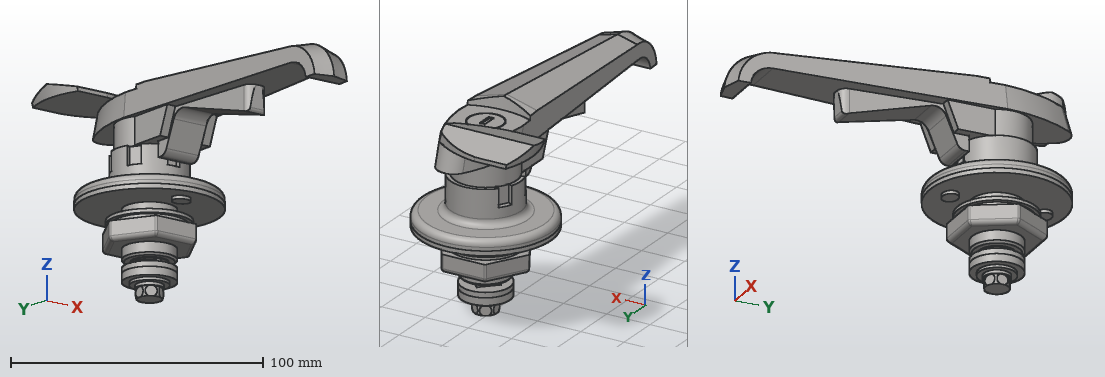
import cadquery as cq
import math


overrun = 1.5
reach = 62.3

flange_radius = 30.0
flange_top = 6.7
flange_edge_radius = 3.0
collar_radius = 16.0
collar_top = 22.6
collar_root_radius = 3.1
neck_radius = 11.0
neck_bottom = -21.7
neck_chamfer = 1.0
spindle_radius = 7.6

notch_angles = (150, 210, 270)
notch_width = 6.0
notch_bottom = 14.3
notch_floor_distance = 13.4

gasket_thickness = 2.0
stud_distance = 20.5
stud_length = 8.1
stud_width = 6.9
stud_height = 1.4

washer_radius = 17.5
washer_top = -4.7
washer_thickness = 1.5
nut_collar_radius = 15.6
nut_collar_height = 2.0
nut_across_flats = 34.9
nut_height = 8.1
nut_corner_radius = 1.1
nut_edge_radius = 2.0

spindle_step = 0.3
square_side = 10.0
spacer_top = -24.3
spacer_thickness = 2.3
end_flange_radius = 11.0
end_flange_thickness = 3.5
screw_shoulder_radius = 8.1
screw_shoulder_height = 1.2
screw_neck_radius = 5.8
screw_neck_height = 1.4
screw_across_flats = 10.1
screw_head_rounding = 5.6
screw_bottom = -37.1

handle_bottom = 34.8
deck_top = 45.0
ridge_top = 50.7
gable_angle = 15
ridge_bend_y = -16.0
ridge_end_y = -101.3
ridge_end_z = 44.1
tip_y = -120.0
roll_axis_gap = 0.2
hook_overlap = 1.5
tip_bottom = 26.8
hook_center_y = -103.2
hook_center_z = 25.4
hook_inner_radius = 9.4
arm_wide_y = -2.5
arm_wide_half = 15.0
arm_narrow_y = -117.8
arm_narrow_half = 8.1

head_back_y = 32.1
head_nose_y = 28.5
head_side_radius = 62.3
head_side_center_y = -3.1
head_lean = 3.3
step_center_y = 23.2
step_radius = 36.2
step_lean_angle = 9.5

barrel_radius = 14.2
block_half_width = 12.5
block_bottom = 22.9
block_bottom_y = -23.0
block_top_y = -27.7

trigger_bottom = 16.4
trigger_back_y = -16.2
trigger_wide_half = 8.1
trigger_taper_y = -26.5
trigger_tip_half = 4.5
trigger_tip_y = -70.9
trigger_corner_radius = 3.9
trigger_side_clearance = 0.3
foot_corner_start_y = -18.0
foot_corner_middle = (-20.3, 17.1)
foot_corner_end = (-21.5, 18.9)
throat_start = (-26.3, 30.0)
throat_middle = (-28.8, 32.7)
throat_end = (-32.9, 33.2)
tip_corner_start = (-67.6, 24.0)
tip_corner_middle = (-69.4, 24.0)
tip_corner_end = (-70.0, 25.3)

cylinder_radius = 7.6
cylinder_clearance = 0.3
key_slot_width = 2.3
key_slot_length = 7.0
key_slot_y = -0.8
key_slot_depth = 0.8

cover_center_y = 21.2
cover_half_width = 14.7
cover_edge_height = 1.9
cover_left_x = -35.0
cover_corner_x = -32.1
cover_curve_x = -17.5
cover_flank_x = -4.0
cover_flank_y = 10.6
cover_nose_x = 4.0
cover_nose_y = 5.5
cover_right_x = 5.8
cover_lean = 1.4


def disc(radius, top, thickness):
    return cq.Workplane("XY").workplane(offset=top - thickness).circle(radius).extrude(thickness)


def make_housing():
    arc_part = 1 - math.sqrt(0.5)
    root = collar_root_radius
    edge = flange_edge_radius
    body = (
        cq.Workplane("XZ")
        .moveTo(spindle_radius, collar_top)
        .lineTo(collar_radius, collar_top)
        .lineTo(collar_radius, flange_top + root)
        .threePointArc(
            (collar_radius + root * arc_part, flange_top + root * arc_part),
            (collar_radius + root, flange_top),
        )
        .lineTo(flange_radius - edge, flange_top)
        .threePointArc(
            (flange_radius - edge * arc_part, flange_top - edge * arc_part),
            (flange_radius, flange_top - edge),
        )
        .lineTo(flange_radius, gasket_thickness)
        .lineTo(neck_radius, gasket_thickness)
        .lineTo(neck_radius, neck_bottom + neck_chamfer)
        .lineTo(neck_radius - neck_chamfer, neck_bottom)
        .lineTo(spindle_radius, neck_bottom)
        .close()
        .revolve(360, (0, 0, 0), (0, 1, 0))
    )
    notch_depth = collar_radius - notch_floor_distance + overrun
    notch = cq.Workplane("XY").box(
        notch_depth, notch_width, collar_top - notch_bottom, centered=(False, True, False)
    ).translate((notch_floor_distance, 0, notch_bottom))
    for angle in notch_angles:
        body = body.cut(notch.rotate((0, 0, 0), (0, 0, 1), angle))
    return body


def make_gasket():
    ring = disc(flange_radius, gasket_thickness, gasket_thickness)
    ring = ring.cut(disc(neck_radius, gasket_thickness, gasket_thickness))
    studs = (
        cq.Workplane("XY")
        .pushPoints([(0, -stud_distance), (0, stud_distance)])
        .ellipse(stud_length / 2, stud_width / 2)
        .extrude(-stud_height)
    )
    return ring.union(studs)


def make_washer():
    washer = disc(washer_radius, washer_top, washer_thickness)
    return washer.cut(disc(neck_radius, washer_top, washer_thickness))


def make_nut():
    collar_top_z = washer_top - washer_thickness
    hex_top = collar_top_z - nut_collar_height
    hexagon = (
        cq.Workplane("XY")
        .workplane(offset=hex_top - nut_height)
        .polygon(6, nut_across_flats / math.cos(math.pi / 6))
        .extrude(nut_height)
        .edges("|Z")
        .fillet(nut_corner_radius)
        .faces("<Z")
        .edges()
        .fillet(nut_edge_radius)
    )
    nut = hexagon.union(disc(nut_collar_radius, collar_top_z, nut_collar_height))
    return nut.cut(disc(neck_radius, collar_top_z, nut_collar_height + nut_height))


def square_prism(top, height):
    return (
        cq.Workplane("XY")
        .workplane(offset=top - height)
        .transformed(rotate=(0, 0, 45))
        .rect(square_side, square_side)
        .extrude(height)
    )


def make_spacer():
    spacer = disc(end_flange_radius, spacer_top, spacer_thickness)
    return spacer.cut(square_prism(spacer_top, spacer_thickness))


def make_screw():
    flange_face = spacer_top - spacer_thickness
    shoulder_face = flange_face - end_flange_thickness
    neck_face = shoulder_face - screw_shoulder_height
    head_face = neck_face - screw_neck_height
    head_height = head_face - screw_bottom
    rounding = cq.Workplane("XY").sphere(screw_head_rounding).translate((0, 0, head_face - head_height / 2))
    head = (
        cq.Workplane("XY")
        .workplane(offset=screw_bottom)
        .transformed(rotate=(0, 0, 90))
        .polygon(6, screw_across_flats / math.cos(math.pi / 6))
        .extrude(head_height)
        .intersect(rounding)
    )
    return (
        disc(end_flange_radius, flange_face, end_flange_thickness)
        .union(disc(screw_shoulder_radius, shoulder_face, screw_shoulder_height))
        .union(disc(screw_neck_radius, neck_face, screw_neck_height))
        .union(head)
    )


def gable(plane, depth):
    """Gabled cross-section whose ridge lies at the origin of the plane."""
    half = arm_wide_half + overrun
    eave_drop = half * math.tan(math.radians(gable_angle))
    return (
        cq.Workplane(plane)
        .polyline([(0, 0), (half, -eave_drop), (half, -depth), (-half, -depth), (-half, -eave_drop)])
        .close()
    )


def make_roof():
    """Roof of the grip: level at the head, sloping along the arm, rolled over at the hook."""
    slope = (ridge_top - ridge_end_z) / (ridge_bend_y - ridge_end_y)
    slope_angle = math.atan(slope)
    rearward = (0, math.cos(slope_angle), math.sin(slope_angle))
    roll_radius = ridge_end_y - tip_y
    hook_depth = roll_radius - roll_axis_gap
    arm_depth = 2 * roll_radius
    start_y = ridge_end_y - hook_overlap
    start_z = ridge_end_z - slope * hook_overlap
    level_plane = cq.Plane((0, start_y, ridge_top), (-1, 0, 0), (0, 1, 0))
    slope_plane = cq.Plane((0, start_y, start_z), (-1, 0, 0), rearward)
    hook_plane = cq.Plane((0, ridge_end_y, ridge_end_z), (-1, 0, 0), (0, 1, 0))
    level = gable(level_plane, arm_depth).extrude(reach - ridge_end_y)
    sloped = gable(slope_plane, arm_depth).extrude(reach - ridge_end_y)
    hook = gable(hook_plane, hook_depth).revolve(90, (0, -roll_radius, 0), (-1, -roll_radius, 0))
    return sloped.intersect(level).union(hook)


def make_side_trim():
    """Side outline of the grip below the roof, with the hook's inner curve."""
    diagonal = hook_inner_radius * math.sqrt(0.5)
    run = math.sqrt(hook_inner_radius**2 - (tip_bottom - hook_center_z) ** 2)
    return (
        cq.Workplane("YZ")
        .moveTo(head_back_y + overrun, handle_bottom)
        .lineTo(hook_center_y, handle_bottom)
        .threePointArc(
            (hook_center_y - diagonal, hook_center_z + diagonal),
            (hook_center_y - run, tip_bottom),
        )
        .lineTo(tip_y - overrun, tip_bottom)
        .lineTo(tip_y - overrun, ridge_top + overrun)
        .lineTo(head_back_y + overrun, ridge_top + overrun)
        .close()
        .extrude(reach, both=True)
    )


def make_plan_trim():
    """Tapering plan of the arm, run on past the head and the tip."""
    taper = (arm_wide_half - arm_narrow_half) / (arm_wide_y - arm_narrow_y)
    front_y = tip_y - overrun
    back_y = head_back_y + overrun
    front_half = arm_narrow_half + taper * (front_y - arm_narrow_y)
    back_half = arm_narrow_half + taper * (back_y - arm_narrow_y)
    outline = [(-front_half, front_y), (front_half, front_y), (back_half, back_y), (-back_half, back_y)]
    return cq.Workplane("XY").polyline(outline).close().extrude(reach)


def head_outline(workplane, shift):
    """Plan of the head, run on past the tip, with the rear moved along Y by the shift."""
    def side_x(y):
        inset = head_side_radius - math.sqrt(head_side_radius**2 - (y - head_side_center_y) ** 2)
        return arm_wide_half - inset

    mid_y = (head_side_center_y + head_nose_y) / 2
    front_y = tip_y - overrun
    wide = side_x(head_side_center_y)
    nose = side_x(head_nose_y)
    return (
        workplane.moveTo(-wide, front_y)
        .lineTo(wide, front_y)
        .lineTo(wide, head_side_center_y + shift)
        .threePointArc((side_x(mid_y), mid_y + shift), (nose, head_nose_y + shift))
        .threePointArc((0, head_back_y + shift), (-nose, head_nose_y + shift))
        .threePointArc((-side_x(mid_y), mid_y + shift), (-wide, head_side_center_y + shift))
        .close()
    )


def make_head_trim():
    """Head plan swept upward and forward, so that the rear wall leans."""
    height = deck_top - handle_bottom
    below = handle_bottom - tip_bottom + overrun
    above = ridge_top - handle_bottom + overrun
    lean = head_lean / height
    lower = head_outline(cq.Workplane("XY").workplane(offset=handle_bottom - below), lean * below)
    upper = head_outline(lower.workplane(offset=below + above), -lean * above)
    return upper.loft(ruled=True)


def make_deck_cut():
    """Round leaning step down from the ridge to the flat deck."""
    return (
        cq.Workplane("XY")
        .workplane(offset=deck_top)
        .center(0, step_center_y)
        .circle(step_radius)
        .extrude(ridge_top - deck_top + overrun, taper=-step_lean_angle)
    )


def make_guide_block():
    return (
        cq.Workplane("YZ")
        .polyline([
            (0, block_bottom),
            (block_bottom_y, block_bottom),
            (block_top_y, handle_bottom),
            (0, handle_bottom),
        ])
        .close()
        .extrude(block_half_width, both=True)
    )


def make_trigger_slot():
    """Slot in the guide block, open at the front and bottom, with clearance beside the trigger."""
    width = 2 * (trigger_wide_half + trigger_side_clearance)
    length = trigger_back_y - block_top_y
    return (
        cq.Workplane("XY")
        .box(width, length, handle_bottom - collar_top, centered=(True, False, False))
        .translate((0, block_top_y, collar_top))
    )


def make_spindle():
    """Round shaft through the housing, ending in a square inside the spacer."""
    shaft_bottom = neck_bottom - spindle_step
    square_bottom = spacer_top - spacer_thickness
    shaft = disc(spindle_radius, collar_top, collar_top - shaft_bottom)
    return shaft.union(square_prism(shaft_bottom, shaft_bottom - square_bottom))


def make_handle():
    grip = make_roof().intersect(make_side_trim()).intersect(make_plan_trim()).intersect(make_head_trim())
    grip = grip.cut(make_deck_cut())
    bore_radius = cylinder_radius + cylinder_clearance
    grip = grip.cut(disc(bore_radius, deck_top, deck_top - handle_bottom))
    stem = disc(barrel_radius, handle_bottom, handle_bottom - collar_top)
    block = make_guide_block().cut(make_trigger_slot())
    return grip.union(stem).union(block).union(make_spindle())


def make_trigger():
    profile = (
        cq.Workplane("YZ")
        .moveTo(trigger_back_y, handle_bottom)
        .lineTo(trigger_back_y, trigger_bottom)
        .lineTo(foot_corner_start_y, trigger_bottom)
        .threePointArc(foot_corner_middle, foot_corner_end)
        .lineTo(*throat_start)
        .threePointArc(throat_middle, throat_end)
        .lineTo(*tip_corner_start)
        .threePointArc(tip_corner_middle, tip_corner_end)
        .lineTo(trigger_tip_y, handle_bottom)
        .close()
        .extrude(reach, both=True)
    )
    plan = (
        cq.Workplane("XY")
        .polyline([
            (-trigger_wide_half, trigger_back_y),
            (trigger_wide_half, trigger_back_y),
            (trigger_wide_half, trigger_taper_y),
            (trigger_tip_half, trigger_tip_y),
            (-trigger_tip_half, trigger_tip_y),
            (-trigger_wide_half, trigger_taper_y),
        ])
        .close()
        .extrude(reach)
        .edges("|Z and <Y")
        .fillet(trigger_corner_radius)
    )
    return profile.intersect(plan)


def make_lock_cylinder():
    cylinder = disc(cylinder_radius, deck_top, deck_top - handle_bottom)
    key_slot = (
        cq.Workplane("XY")
        .workplane(offset=deck_top - key_slot_depth)
        .center(0, key_slot_y)
        .rect(key_slot_width, key_slot_length)
        .extrude(key_slot_depth)
    )
    return cylinder.cut(key_slot)


def cover_outline(workplane, shift):
    """Plan of the dust cover about its own centre line, moved along X by the shift."""
    half = cover_half_width
    return (
        workplane.moveTo(cover_corner_x + shift, -half)
        .lineTo(cover_curve_x + shift, -half)
        .threePointArc((cover_flank_x + shift, -cover_flank_y), (cover_nose_x + shift, -cover_nose_y))
        .threePointArc((cover_right_x + shift, 0), (cover_nose_x + shift, cover_nose_y))
        .threePointArc((cover_flank_x + shift, cover_flank_y), (cover_curve_x + shift, half))
        .lineTo(cover_corner_x + shift, half)
        .threePointArc((cover_left_x + shift, 0), (cover_corner_x + shift, -half))
        .close()
    )


def make_dust_cover():
    height = ridge_top - deck_top
    lower = cover_outline(cq.Workplane("XY").workplane(offset=deck_top), cover_lean)
    block = cover_outline(lower.workplane(offset=height), 0).loft(ruled=True)
    edge_z = deck_top + cover_edge_height
    gable_prism = (
        cq.Workplane("YZ")
        .polyline([
            (-cover_half_width, deck_top),
            (cover_half_width, deck_top),
            (cover_half_width, edge_z),
            (0, ridge_top),
            (-cover_half_width, edge_z),
        ])
        .close()
        .extrude(reach, both=True)
    )
    return block.intersect(gable_prism).translate((0, cover_center_y, 0))


housing = make_housing()
gasket = make_gasket()
washer = make_washer()
nut = make_nut()
spacer = make_spacer()
screw = make_screw()
trigger = make_trigger()
handle = make_handle()
lock_cylinder = make_lock_cylinder()
dust_cover = make_dust_cover()

result = cq.Compound.makeCompound([
    housing.val(),
    gasket.val(),
    washer.val(),
    nut.val(),
    spacer.val(),
    screw.val(),
    trigger.val(),
    handle.val(),
    lock_cylinder.val(),
    dust_cover.val(),
])